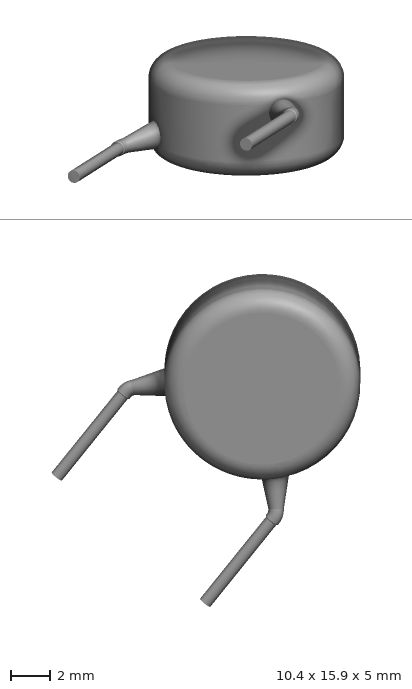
import cadquery as cq
import math

DISC_DIAMETER = 10.0
DISC_HEIGHT = 5.0
EDGE_RADIUS = 1.0

LEAD_HALF_SPACING = 4.81
LEAD_HALF_OFFSET = 1.43
LEAD_RADIUS = 0.33
LEAD_END_Y = -10.87

SLEEVE_RADIUS = 0.4
SLEEVE_END_Y = -5.4
RIM_LENGTH = 0.11
RIM_RADIUS = SLEEVE_RADIUS - LEAD_RADIUS
BEND_RADIUS = 0.8
CONE_AZIMUTH = math.radians(40)
CONE_ELEVATION = math.radians(11)
CONE_TAPER = math.radians(10.5)
CONE_LENGTH = 2.06

LEAD_AXIS = cq.Vector(0, 1, 0)
HALF_TURN_AXIS = ((0, 0, 0), (0, 1, 0))


def sleeve():
    """Sleeve on the -X side: rounded rim, bend, and a cone widening into the disc."""
    cone_axis = cq.Vector(
        math.cos(CONE_ELEVATION) * math.sin(CONE_AZIMUTH),
        math.cos(CONE_ELEVATION) * math.cos(CONE_AZIMUTH),
        math.sin(CONE_ELEVATION),
    )
    rim_end = cq.Vector(-LEAD_HALF_SPACING, SLEEVE_END_Y, -LEAD_HALF_OFFSET)
    bend_start = rim_end + LEAD_AXIS * RIM_LENGTH

    bend_angle = LEAD_AXIS.getAngle(cone_axis)
    tangent_length = BEND_RADIUS * math.tan(bend_angle / 2)
    cone_start = bend_start + (LEAD_AXIS + cone_axis) * tangent_length
    bend_path = cq.Workplane(cq.Edge.makeTangentArc(bend_start, LEAD_AXIS, cone_start))

    rim = cq.Workplane(cq.Solid.makeCylinder(SLEEVE_RADIUS, RIM_LENGTH, rim_end, LEAD_AXIS))
    rim = rim.faces("<Y").edges().fillet(RIM_RADIUS)
    bend = cq.Workplane(cq.Plane(bend_start, normal=LEAD_AXIS)).circle(SLEEVE_RADIUS).sweep(bend_path)
    base_radius = SLEEVE_RADIUS + CONE_LENGTH * math.tan(CONE_TAPER)
    cone = cq.Solid.makeCone(SLEEVE_RADIUS, base_radius, CONE_LENGTH, cone_start, cone_axis)
    return rim.union(bend).union(cone)


def coating():
    """Round-edged disc joined to its two sleeves, which are half a turn apart about Y."""
    disc = cq.Workplane("XY").cylinder(DISC_HEIGHT, DISC_DIAMETER / 2)
    disc = disc.edges().fillet(EDGE_RADIUS)
    first_sleeve = sleeve()
    second_sleeve = first_sleeve.rotate(*HALF_TURN_AXIS, 180)
    return disc.union(first_sleeve).union(second_sleeve).solids()


def lead(side):
    """Straight round wire that starts at the end of its sleeve; side is -1 or +1 along X."""
    end = cq.Vector(side * LEAD_HALF_SPACING, LEAD_END_Y, side * LEAD_HALF_OFFSET)
    return cq.Solid.makeCylinder(LEAD_RADIUS, SLEEVE_END_Y - LEAD_END_Y, end, LEAD_AXIS)


coated_disc = coating()
leads = [lead(side) for side in (-1, 1)]

result = cq.Compound.makeCompound([coated_disc.val(), *leads])